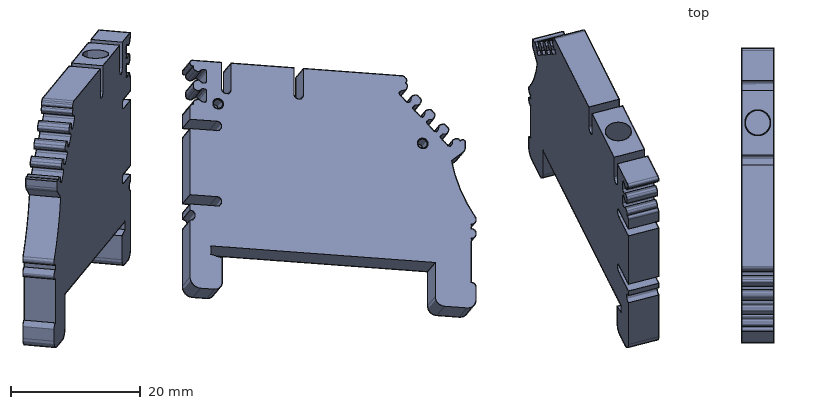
import cadquery as cq
import math

thickness = 5.0
length = 45.4
height = 36.7

rail_roof = 6.95
front_foot_width = 6.5
rear_foot_width = 5.15
hook_depth = 1.8
hook_root_height = 5.6
hook_tip_height = 5.18
foot_radius = 1.45
rear_heel_radius = 1.7
hook_tip_radius = 1.25

recess_depth = 0.75
recess_bottom = 4.18
bump_bottom = 11.3
shoulder_bottom = 13.57
shoulder_top = 14.75

scoop_middle = (2.55, 19.1)
scoop_top = (3.9, 23.55)
beak_front = 1.73
beak_corner_height = 25.4
beak_radius = 0.9
slope_top_radius = 0.65

tooth_pitch = 3.1
head_tip = 0.75
head_tip_half_width = 0.6
head_half_width = 0.9
head_base = 0.65
head_tip_radius = 0.45
head_side_radius = 0.2
neck_width = 0.95
head_to_floor = 1.25
head_to_lip = 1.3
lip_radius = 0.4
floor_radius = 0.25
slope_start = (3.05, 26.35)
slope_direction = (math.sqrt(0.5), math.sqrt(0.5))
slope_tooth_gaps = 4
rear_start = (length - head_to_lip, height - 0.9)
rear_direction = (0.0, -1.0)
rear_tooth_gaps = 2

slot_width = 1.5
slot_depth = 5.0
top_slot_positions = (length - 5.75, length - 17.25)
rear_slot_heights = (26.4, 14.2)

notch_radius = 0.795
notch_height = 11.65

top_hole_radius = 2.0
top_hole_floor_radius = 1.9
top_hole_depth = 9.1
side_hole_radius = 0.73
side_hole_floor_radius = 0.6
side_hole_depth = 2.5
side_hole_chamfer = 0.115
side_hole_centers = [(length - 4.45, height - 6.7), (8.5, 26.0)]


def prism(sketch):
    """Extrude a YZ sketch through the whole thickness."""
    return sketch.extrude(thickness)


def round_corner(body, point, radius):
    """Fillet the through-thickness edge that passes through a YZ point."""
    nearest = cq.selectors.NearestToPointSelector((thickness / 2, *point))
    return body.edges("|X").edges(nearest).fillet(radius)


def cone(mouth, mouth_radius, floor_radius, depth):
    """A tapered plug from a circle on the mouth plane to a circle at the given depth."""
    return mouth.circle(mouth_radius).workplane(offset=depth).circle(floor_radius).loft()


def plate():
    """The outer outline with its feet, front recess, scoop and sloping edge."""
    lip_line = slope_start[1] - slope_start[0] + head_to_lip * math.sqrt(2)
    hook_mouth = length - rear_foot_width
    hook_root = hook_mouth + hook_depth
    shoulder_center = shoulder_bottom + recess_depth
    shoulder_top_y = recess_depth - math.sqrt(recess_depth**2 - (shoulder_top - shoulder_center) ** 2)
    corner_dip = recess_depth * (1 - math.sqrt(0.5))
    outline = (
        cq.Workplane("YZ")
        .moveTo(0, 0)
        .lineTo(0, recess_bottom - recess_depth)
        .threePointArc((corner_dip, recess_bottom - corner_dip), (recess_depth, recess_bottom))
        .lineTo(recess_depth, bump_bottom)
        .threePointArc((0, bump_bottom + recess_depth), (recess_depth, bump_bottom + 2 * recess_depth))
        .lineTo(recess_depth, shoulder_bottom)
        .threePointArc((0, shoulder_center), (shoulder_top_y, shoulder_top))
        .threePointArc(scoop_middle, scoop_top)
        .lineTo(beak_front, beak_corner_height)
        .lineTo(beak_front, beak_front + lip_line)
        .lineTo(height - lip_line, height)
        .lineTo(length, height)
        .lineTo(length, 0)
        .lineTo(hook_mouth, 0)
        .lineTo(hook_mouth, hook_tip_height)
        .lineTo(hook_root, hook_root_height)
        .lineTo(hook_root, rail_roof)
        .lineTo(front_foot_width, rail_roof)
        .lineTo(front_foot_width, 0)
        .close()
    )
    body = prism(outline)
    for foot_corner in (0, front_foot_width):
        body = round_corner(body, (foot_corner, 0), foot_radius)
    body = round_corner(body, (length, 0), rear_heel_radius)
    body = round_corner(body, (length, height), lip_radius)
    body = round_corner(body, (hook_mouth, 0), hook_tip_radius)
    body = round_corner(body, (height - lip_line, height), slope_top_radius)
    return round_corner(body, (beak_front, beak_corner_height), beak_radius)


def tooth_head(plane, along):
    """A six-sided tooth head, widest at its middle, with rounded corners."""
    tip_corner = (head_tip_half_width, head_tip)
    side_corner = (head_half_width, 0)
    base_corner = (neck_width / 2, -head_base)
    half_outline = [tip_corner, side_corner, base_corner]
    mirrored = [(-x, y) for x, y in reversed(half_outline)]
    head = prism(cq.Workplane(plane).center(along, 0).polyline(half_outline + mirrored).close())
    for (x, y), radius in ((tip_corner, head_tip_radius), (side_corner, head_side_radius)):
        for side in (-1, 1):
            corner = plane.toWorldCoords((along + side * x, y))
            head = round_corner(head, (corner.y, corner.z), radius)
    return head


def cut_rack(body, start, direction, gap_count):
    """Cut a toothed rack; start is the first head center, direction runs along the row."""
    row_plane = cq.Plane(origin=(0, *start), xDir=(0, *direction), normal=(1, 0, 0))
    row_length = gap_count * tooth_pitch
    reach = 2 * head_to_lip

    window = cq.Workplane(row_plane).center(row_length / 2, reach / 2).rect(row_length, reach)
    body = body.cut(prism(window))
    for along in (0, row_length):
        lip_corner = row_plane.toWorldCoords((along, head_to_lip))
        body = round_corner(body, (lip_corner.y, lip_corner.z), lip_radius)

    for index in range(gap_count):
        middle = cq.Workplane(row_plane).center((index + 0.5) * tooth_pitch, (reach - head_to_floor) / 2)
        gap = prism(middle.rect(tooth_pitch - neck_width, reach + head_to_floor))
        body = body.cut(gap.edges("|X").fillet(floor_radius))

    for index in range(gap_count + 1):
        body = body.union(tooth_head(row_plane, index * tooth_pitch))
    return body


def cut_slots(body):
    """Round-ended slots entering from the top and rear edges."""
    mouths = [(y, height, 90) for y in top_slot_positions]
    mouths += [(length, z, 0) for z in rear_slot_heights]
    for y, z, angle in mouths:
        slot = cq.Workplane("YZ").center(y, z).slot2D(2 * slot_depth, slot_width, angle)
        body = body.cut(prism(slot))
    return body


def cut_notch_and_holes(body):
    """The rear notch, the wire hole in the top edge and the two pin holes in the side face."""
    notch = cq.Workplane("YZ").center(length, notch_height).circle(notch_radius)
    body = body.cut(prism(notch))

    top_hole_y = sum(top_slot_positions) / 2
    top_mouth = cq.Workplane("XY", origin=(thickness / 2, top_hole_y, height))
    body = body.cut(cone(top_mouth, top_hole_radius, top_hole_floor_radius, -top_hole_depth))

    for center in side_hole_centers:
        side_mouth = cq.Workplane("YZ").center(*center)
        body = body.cut(cone(side_mouth, side_hole_radius, side_hole_floor_radius, side_hole_depth))
        rim_radius = side_hole_radius + side_hole_chamfer
        body = body.cut(cone(side_mouth, rim_radius, side_hole_radius, side_hole_chamfer))
    return body


result = plate()
result = cut_rack(result, slope_start, slope_direction, slope_tooth_gaps)
result = cut_rack(result, rear_start, rear_direction, rear_tooth_gaps)
result = cut_slots(result)
result = cut_notch_and_holes(result)